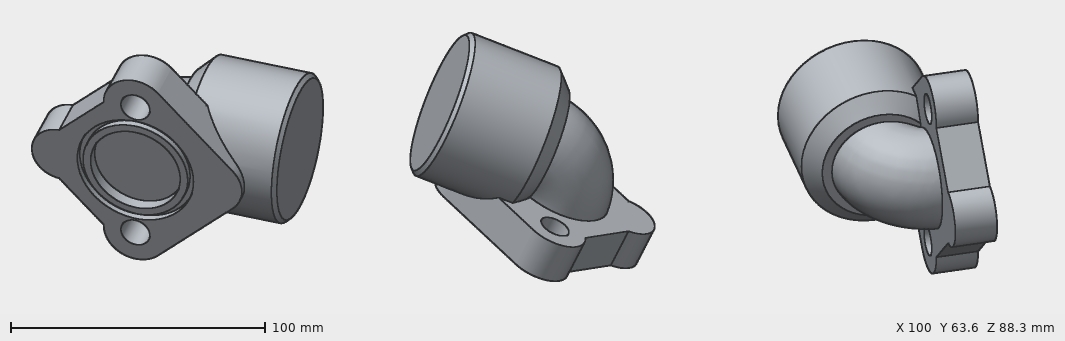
import cadquery as cq
import math

flange_thickness = 17.0
flange_height = 88.3
lug_offset = 31.0
lug_radius = flange_height / 2 - lug_offset
left_lug_radius = 12.0
left_edge_reach = 43.6
hole_diameter = 12.0

recess_radius = 18.6
recess_depth = 5.1
groove_inner_radius = 21.7
groove_outer_radius = 24.1
groove_depth = 3.0

outlet_axis_y = 33.4
socket_radius = 30.2
socket_start = 11.5
socket_end = 57.0
back_chamfer = 6.7
front_chamfer = 1.7

pipe_radius = 20.0
bend_start_y = 13.0
bend_radius = outlet_axis_y - bend_start_y
bend_left = -23.0
pipe_start_x = bend_left + pipe_radius


def cylinder_y(radius, depth, z=0):
    """Cylinder that starts on the flange face (y = 0) and runs along +Y."""
    return cq.Workplane("XZ", origin=(0, 0, z)).circle(radius).extrude(-depth)


def make_flange():
    tangent = lug_radius / math.sqrt(2)
    neck_z = left_edge_reach - lug_radius
    line_gap = left_edge_reach - lug_offset
    left_join = (line_gap + math.sqrt(2 * left_lug_radius**2 - line_gap**2)) / 2
    left_join_x = left_join - left_edge_reach

    outline = (
        cq.Workplane("XZ")
        .moveTo(left_join_x, left_join)
        .lineTo(-lug_radius, neck_z)
        .lineTo(-lug_radius, lug_offset)
        .threePointArc((0, lug_offset + lug_radius), (tangent, lug_offset + tangent))
        .lineTo(lug_offset + tangent, tangent)
        .threePointArc((lug_offset + lug_radius, 0), (lug_offset + tangent, -tangent))
        .lineTo(tangent, -lug_offset - tangent)
        .threePointArc((0, -lug_offset - lug_radius), (-lug_radius, -lug_offset))
        .lineTo(-lug_radius, -neck_z)
        .lineTo(left_join_x, -left_join)
        .threePointArc((-lug_offset - left_lug_radius, 0), (left_join_x, left_join))
        .close()
    )
    return outline.extrude(-flange_thickness)


def make_elbow():
    return (
        cq.Workplane("XZ", origin=(pipe_start_x, bend_start_y, 0))
        .circle(pipe_radius)
        .revolve(90, (bend_radius, 0, 0), (bend_radius, -1, 0))
    )


def make_socket():
    return (
        cq.Workplane("YZ", origin=(socket_start, outlet_axis_y, 0))
        .circle(socket_radius)
        .extrude(socket_end - socket_start)
        .faces("<X")
        .chamfer(back_chamfer)
        .faces(">X")
        .chamfer(front_chamfer)
    )


result = make_flange().union(make_elbow()).union(make_socket())

for hole_z in (-lug_offset, lug_offset):
    result = result.cut(cylinder_y(hole_diameter / 2, flange_thickness, z=hole_z))

groove = cylinder_y(groove_outer_radius, groove_depth).cut(cylinder_y(groove_inner_radius, groove_depth))
result = result.cut(groove).cut(cylinder_y(recess_radius, recess_depth))